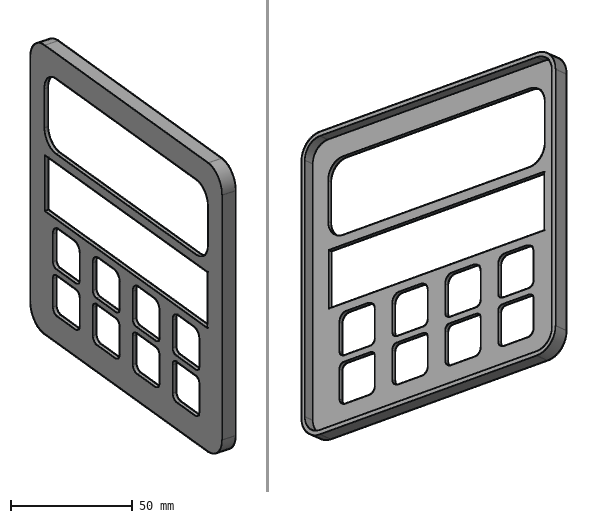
import cadquery as cq

WIDTH = 141.3
DEPTH = 6.9
HEIGHT = 136.8
CORNER_RADIUS = 10.5
WALL = 2.0

DISPLAY_WIDTH = 120.4
DISPLAY_HEIGHT = 35.5
DISPLAY_RADIUS = 8.5
DISPLAY_TOP_MARGIN = 12.0

SLOT_WIDTH = 119.8
SLOT_HEIGHT = 26.4
DISPLAY_TO_SLOT = 4.5

KEY_COLUMNS = 4
KEY_WIDTH = 19.6
KEY_PITCH = 29.4
UPPER_KEY_HEIGHT = 19.6
LOWER_KEY_HEIGHT = 19.1
SLOT_TO_KEYS = 4.0
KEY_ROW_GAP = 3.0
UPPER_KEY_TOP_RADIUS = 4.0
KEY_RADIUS = 2.5
LOWER_KEY_BOTTOM_RADIUS = 3.1

display_top = HEIGHT / 2 - DISPLAY_TOP_MARGIN
slot_top = display_top - DISPLAY_HEIGHT - DISPLAY_TO_SLOT
upper_key_top = slot_top - SLOT_HEIGHT - SLOT_TO_KEYS
lower_key_top = upper_key_top - UPPER_KEY_HEIGHT - KEY_ROW_GAP


def block(width, height, top, center_x=0.0):
    """Upright block through the full depth, front face on Y = 0."""
    return cq.Workplane("XY").box(width, DEPTH, height, centered=(True, False, True)).translate(
        (center_x, 0, top - height / 2)
    )


def key_opening(center_x, top, height, top_radius, bottom_radius):
    """Key cutter whose upper and lower corner pairs have their own radii."""
    cutter = block(KEY_WIDTH, height, top, center_x)
    cutter = cutter.faces(">Z").edges("|Y").fillet(top_radius)
    return cutter.faces("<Z").edges("|Y").fillet(bottom_radius)


body = block(WIDTH, HEIGHT, HEIGHT / 2).edges("|Y").fillet(CORNER_RADIUS)
cavity = (
    block(WIDTH - 2 * WALL, HEIGHT - 2 * WALL, HEIGHT / 2 - WALL)
    .edges("|Y")
    .fillet(CORNER_RADIUS - WALL)
    .translate((0, WALL, 0))
)
body = body.cut(cavity)

display = block(DISPLAY_WIDTH, DISPLAY_HEIGHT, display_top).edges("|Y").fillet(DISPLAY_RADIUS)
slot = block(SLOT_WIDTH, SLOT_HEIGHT, slot_top)
body = body.cut(display).cut(slot)

for column in range(KEY_COLUMNS):
    key_x = (column - (KEY_COLUMNS - 1) / 2) * KEY_PITCH
    upper_key = key_opening(key_x, upper_key_top, UPPER_KEY_HEIGHT, UPPER_KEY_TOP_RADIUS, KEY_RADIUS)
    lower_key = key_opening(key_x, lower_key_top, LOWER_KEY_HEIGHT, KEY_RADIUS, LOWER_KEY_BOTTOM_RADIUS)
    body = body.cut(upper_key).cut(lower_key)

result = body